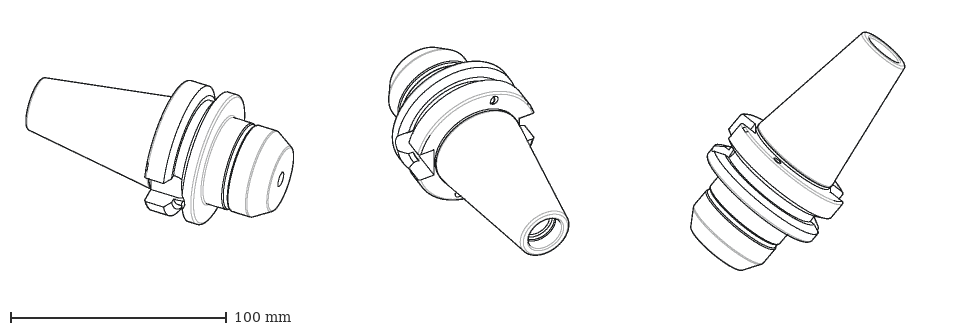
import cadquery as cq
import math

length = 123.4

gauge_x = 65.4
gauge_radius = 22.2
taper_slope = 7 / 48
small_end_radius = gauge_radius - gauge_x * taper_slope
small_end_round = 1.1
neck_start_x = 66.0
neck_radius = 44.0 / 2

flange_start_x = 67.4
flange_end_x = 92.3
flange_radius = 63.0 / 2
flange_round = 1.0
groove_floor_radius = 25.3
groove_wall_radius = 27.5
groove_left_x = 79.5
groove_right_x = 84.5
groove_flare = (flange_radius - groove_wall_radius) * math.tan(math.radians(30))

nose_radius = 42 / 2
nose_root_round = 0.7
ring_left_x = 102.4
ring_right_x = 105.6
ring_side_length = 0.6
ring_radius = 41.0 / 2
tip_start_x = 114.8
tip_radius = 15.7
tip_round = 0.9
shoulder_round = 1.2

slot_width = 16.0
slot_floor_y = 22.5
slot_end_x = 88.2

mouth_round = 0.7
counterbore_radius = 17.6 / 2
pilot_radius = 17.0 / 2
thread_radius = 13.8 / 2
through_radius = 6.9 / 2
pilot_start_x = 6.5
pilot_full_x = 7.2
pilot_end_x = 9.0
cone_start_x = 51.8
drill_half_angle = math.radians(59)
cone_end_x = cone_start_x + (thread_radius - through_radius) / math.tan(drill_half_angle)

channel_diameter = 3.2
entry_diameter = 4.0
entry_depth = 2.5
channel_turn = 20.0
entry_radius = 27.0
channel_tilt = math.radians(30)
outlet_radius = 5.7
meeting_x = 79.0
meeting_radius = entry_radius - (meeting_x - flange_start_x) * math.tan(channel_tilt)


def turned_body():
    """Revolve the outer profile about X."""
    profile = (
        cq.Workplane("XY")
        .lineTo(0, small_end_radius)
        .lineTo(gauge_x, gauge_radius)
        .lineTo(neck_start_x, gauge_radius)
        .lineTo(neck_start_x + gauge_radius - neck_radius, neck_radius)
        .lineTo(flange_start_x, neck_radius)
        .lineTo(flange_start_x, flange_radius - flange_round)
        .radiusArc((flange_start_x + flange_round, flange_radius), flange_round)
        .lineTo(groove_left_x - groove_flare, flange_radius)
        .lineTo(groove_left_x, groove_wall_radius)
        .lineTo(groove_left_x, groove_floor_radius)
        .lineTo(groove_right_x, groove_floor_radius)
        .lineTo(groove_right_x, groove_wall_radius)
        .lineTo(groove_right_x + groove_flare, flange_radius)
        .lineTo(flange_end_x - flange_round, flange_radius)
        .radiusArc((flange_end_x, flange_radius - flange_round), flange_round)
        .lineTo(flange_end_x, nose_radius + nose_root_round)
        .radiusArc((flange_end_x + nose_root_round, nose_radius), -nose_root_round)
        .lineTo(ring_left_x, nose_radius)
        .lineTo(ring_left_x + ring_side_length, ring_radius)
        .lineTo(ring_right_x - ring_side_length, ring_radius)
        .lineTo(ring_right_x, nose_radius)
        .lineTo(tip_start_x, nose_radius)
        .lineTo(length, tip_radius)
        .lineTo(length, 0)
        .close()
    )
    body = profile.revolve(360, (0, 0, 0), (1, 0, 0))
    body = body.faces("<X").edges().fillet(small_end_round)
    body = body.faces(">X").edges().fillet(tip_round)
    margin = 0.1
    shoulder_edge = cq.selectors.BoxSelector(
        (tip_start_x - margin, -flange_radius, -flange_radius),
        (tip_start_x + margin, flange_radius, flange_radius),
        boundingbox=True,
    )
    return body.edges(shoulder_edge).fillet(shoulder_round)


def bore():
    """Tool that cuts the stepped bore from the small end through to the nose."""
    profile = (
        cq.Workplane("XY")
        .lineTo(0, counterbore_radius + mouth_round)
        .radiusArc((mouth_round, counterbore_radius), -mouth_round)
        .lineTo(pilot_start_x, counterbore_radius)
        .lineTo(pilot_full_x, pilot_radius)
        .lineTo(pilot_end_x, pilot_radius)
        .lineTo(pilot_end_x, thread_radius)
        .lineTo(cone_start_x, thread_radius)
        .lineTo(cone_end_x, through_radius)
        .lineTo(length, through_radius)
        .lineTo(length, 0)
        .close()
    )
    return profile.revolve(360, (0, 0, 0), (1, 0, 0))


def drive_slot(side):
    """Flat-floored slot with a round end, open toward the taper."""
    end_radius = slot_width / 2
    center_x = slot_end_x - end_radius
    slot_length = center_x - flange_start_x
    depth = flange_radius - slot_floor_y
    slot_y = side * (slot_floor_y + depth / 2)
    straight = cq.Workplane("XY").box(slot_length, depth, slot_width)
    straight = straight.translate((flange_start_x + slot_length / 2, slot_y, 0))
    round_end = cq.Workplane("XZ").circle(end_radius).extrude(depth / 2, both=True)
    return straight.union(round_end.translate((center_x, slot_y, 0)))


def drilling(start, end, diameter, overrun=0.0):
    """Cylinder from start to end, extended backward by overrun."""
    axis = (end - start).normalized()
    origin = start - axis * overrun
    return cq.Workplane(cq.Solid.makeCylinder(diameter / 2, (end - origin).Length, origin, axis))


def coolant_channel():
    """Two inclined drillings above the axis, joined inside the flange."""
    entry = cq.Vector(flange_start_x, 0, entry_radius)
    meeting = cq.Vector(meeting_x, 0, meeting_radius)
    cone_x = cone_start_x + (thread_radius - outlet_radius) / math.tan(drill_half_angle)
    outlet = cq.Vector(cone_x, 0, outlet_radius)
    entry_end = entry + (meeting - entry).normalized() * entry_depth
    channel = drilling(entry, meeting, channel_diameter)
    channel = channel.union(drilling(entry, entry_end, entry_diameter, channel_diameter))
    return channel.union(drilling(outlet, meeting, channel_diameter, channel_diameter / 2))


result = turned_body().cut(bore())
for side in (-1, 1):
    result = result.cut(drive_slot(side))
for half_turn in (0, 180):
    channel = coolant_channel().rotate((0, 0, 0), (1, 0, 0), channel_turn + half_turn)
    result = result.cut(channel)